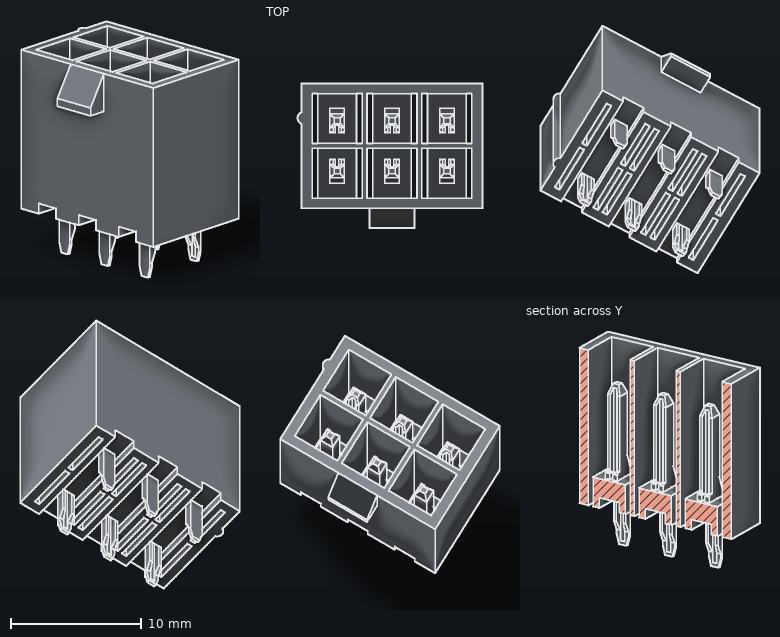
import cadquery as cq


housing_width = 13.89
housing_depth = 9.6
housing_height = 12.83

columns = 3
rows = 2
pitch = 4.2
cavity_size = 3.81
floor_top = 2.45

floor_strip_width = 2.98
side_opening_width = (cavity_size - floor_strip_width) / 2

underside_groove_width = 1.8
underside_groove_height = 0.83

latch_width = 3.47
latch_reach = 1.5
latch_height = 3.05
latch_lip_height = 0.64

rib_width = 0.9
rib_reach = 0.31
rib_y = 2.14

pin_width = 1.11
post_outer_y = 2.46
post_inner_y = 1.4
pin_top = 10.1
tip_inset = 0.31
tip_height = 0.82

foot_outer_y = 2.87
foot_inner_y = 1.01
foot_height = 0.49
shoulder_height = 1.14

groove_mouth_width = 0.64
slot_width = 0.26
slot_end_y = 1.6

pad_width = (pin_width - groove_mouth_width) / 2
pad_height = 0.16
pad_setback = 0.07

tail_length = 3.47
tail_depth = 0.62
tail_plate_thickness = 0.25
tail_ramp_top = 1.99
tail_ramp_bottom = 1.19
tail_point_width = 0.67
tail_point_length = 0.83
tail_groove_depth = 0.4
tail_groove_end_width = 0.36
tail_groove_bottom = 0.33

tail_bottom = -tail_length
tail_inner_y = foot_outer_y - tail_depth
overcut = 0.16

column_places = [(column - (columns - 1) / 2) * pitch for column in range(columns)]
row_places = [(row - (rows - 1) / 2) * pitch for row in range(rows)]
cavity_places = [(x, y) for x in column_places for y in row_places]


def block(x_range, y_range, z_range):
    """Box between two limits on each axis."""
    size = [high - low for low, high in (x_range, y_range, z_range)]
    corner = (x_range[0], y_range[0], z_range[0])
    return cq.Workplane("XY").box(*size, centered=False).translate(corner)


def centred_block(width, y_range, z_range):
    """Box that is centred on X = 0."""
    return block((-width / 2, width / 2), y_range, z_range)


def side_extrusion(points, width):
    """Outline of (y, z) points, extruded along X and centred on X = 0."""
    return cq.Workplane("YZ").polyline(points).close().extrude(width / 2, both=True)


def make_latch():
    wall_y = -housing_depth / 2
    latch_bottom = housing_height - latch_height
    outline = [
        (wall_y, housing_height),
        (wall_y, latch_bottom),
        (wall_y - latch_reach, latch_bottom),
        (wall_y - latch_reach, latch_bottom + latch_lip_height),
    ]
    return side_extrusion(outline, latch_width)


def make_rib():
    wall_x = -housing_width / 2
    return (
        cq.Workplane("XY")
        .moveTo(wall_x, rib_y - rib_width / 2)
        .threePointArc((wall_x - rib_reach, rib_y), (wall_x, rib_y + rib_width / 2))
        .close()
        .extrude(housing_height)
    )


def make_housing():
    body = cq.Workplane("XY").box(
        housing_width, housing_depth, housing_height, centered=(True, True, False)
    )
    body = body.union(make_latch()).union(make_rib())

    cavity_depth = housing_height - floor_top
    cavities = (
        cq.Workplane("XY", origin=(0, 0, floor_top))
        .pushPoints(cavity_places)
        .rect(cavity_size, cavity_size)
        .extrude(cavity_depth + overcut)
    )
    body = body.cut(cavities)

    opening_offset = (floor_strip_width + side_opening_width) / 2
    opening_places = [(x + side * opening_offset, y) for x, y in cavity_places for side in (-1, 1)]
    openings = (
        cq.Workplane("XY", origin=(0, 0, -overcut))
        .pushPoints(opening_places)
        .rect(side_opening_width, cavity_size)
        .extrude(floor_top + 2 * overcut)
    )
    body = body.cut(openings)

    groove_reach = housing_depth / 2 + overcut
    groove = centred_block(
        underside_groove_width,
        (-groove_reach, groove_reach),
        (-overcut, underside_groove_height),
    )
    for x in column_places:
        body = body.cut(groove.translate((x, 0, 0)))

    hole = centred_block(pin_width, (tail_inner_y, foot_outer_y), (0, floor_top))
    for hole_in_row in (hole, hole.mirror("XZ")):
        for x in column_places:
            body = body.cut(hole_in_row.translate((x, 0, 0)))
    return body


def tapered_groove(mouth_y, end_y, end_width, z_range):
    """Upright groove that narrows from its mouth to its end."""
    bottom, top = z_range
    return (
        cq.Workplane("XY", origin=(0, 0, bottom))
        .polyline([
            (-groove_mouth_width / 2, mouth_y),
            (-end_width / 2, end_y),
            (end_width / 2, end_y),
            (groove_mouth_width / 2, mouth_y),
        ])
        .close()
        .extrude(top - bottom)
    )


def make_post():
    """Post and pyramid tip, with a tapered groove up the inner face."""
    tip_base = pin_top - tip_height
    post_depth = post_outer_y - post_inner_y
    post_y = (post_outer_y + post_inner_y) / 2
    shaft = centred_block(pin_width, (post_inner_y, post_outer_y), (floor_top, tip_base))
    tip = (
        cq.Workplane("XY", origin=(0, post_y, tip_base))
        .rect(pin_width, post_depth)
        .workplane(offset=tip_height)
        .rect(pin_width - 2 * tip_inset, post_depth - 2 * tip_inset)
        .loft(ruled=True)
    )
    groove = tapered_groove(post_inner_y, slot_end_y, slot_width, (floor_top, pin_top))
    return shaft.union(tip).cut(groove)


def make_foot():
    """Foot with a sloping outer shoulder and two padded legs on the inner side."""
    foot_top = floor_top + foot_height
    foot = side_extrusion(
        [
            (foot_inner_y, floor_top),
            (foot_outer_y, floor_top),
            (foot_outer_y, foot_top),
            (post_outer_y, foot_top + shoulder_height),
            (post_outer_y, foot_top),
            (foot_inner_y, foot_top),
        ],
        pin_width,
    )
    pad = block(
        (-pin_width / 2, -pin_width / 2 + pad_width),
        (foot_inner_y + pad_setback, post_inner_y),
        (foot_top, foot_top + pad_height),
    )
    slot = centred_block(slot_width, (foot_inner_y, slot_end_y), (floor_top, foot_top))
    return foot.union(pad).union(pad.mirror("YZ")).cut(slot)


def make_tail():
    """Tail that thins to a plate, with a pointed end and a tapered groove in its inner face."""
    plate_inner_y = foot_outer_y - tail_plate_thickness
    profile = side_extrusion(
        [
            (foot_outer_y, floor_top),
            (foot_outer_y, tail_bottom),
            (plate_inner_y, tail_bottom),
            (plate_inner_y, tail_bottom + tail_ramp_bottom),
            (tail_inner_y, tail_bottom + tail_ramp_top),
            (tail_inner_y, floor_top),
        ],
        pin_width,
    )
    pointed_front = (
        cq.Workplane("XZ", origin=(0, foot_outer_y, 0))
        .polyline([
            (-pin_width / 2, floor_top),
            (-pin_width / 2, tail_bottom + tail_point_length),
            (-tail_point_width / 2, tail_bottom),
            (tail_point_width / 2, tail_bottom),
            (pin_width / 2, tail_bottom + tail_point_length),
            (pin_width / 2, floor_top),
        ])
        .close()
        .extrude(tail_depth)
    )
    groove = tapered_groove(
        tail_inner_y,
        tail_inner_y + tail_groove_depth,
        tail_groove_end_width,
        (tail_bottom + tail_groove_bottom, floor_top),
    )
    return profile.intersect(pointed_front).cut(groove)


def make_pins():
    """One pin in each cavity; the two rows mirror each other."""
    back_pin = make_post().union(make_foot()).union(make_tail())
    front_pin = back_pin.mirror("XZ")
    return [pin.translate((x, 0, 0)).val() for pin in (back_pin, front_pin) for x in column_places]


housing = make_housing()
pins = make_pins()
result = cq.Compound.makeCompound([housing.val(), *pins])